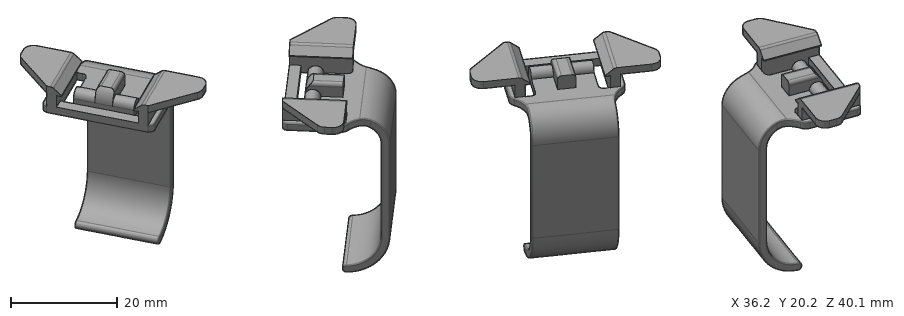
import cadquery as cq
import math


total_height = 40.05
tolerance = 0.005

sheet = 1.7
edge_round = 0.2
plate_half = 11.1
plate_corner_radius = 1.0
strap_half = 8.33
strap_back = 20.2
bend_inner_radius = 4.0
bend_outer_radius = bend_inner_radius + sheet
hook_inner_radius = 7.0
hook_outer_radius = hook_inner_radius + sheet
hook_middle_radius = hook_inner_radius + sheet / 2
hook_sweep = math.radians(86)

shoulder_start = 10.85
shoulder_convex_radius = 2.0
shoulder_concave_radius = 5.0

channel_depth = 12.0
channel_top = 6.1
wall_outer = 10.1
wall_inner = 8.13
lip_tip = 7.13
lip_underside = 4.32
lip_tip_height = 0.2
lip_round_radius = 1.0
lip_crest = 9.35
wing_thickness = 1.6
wing_half = 18.1
wing_corner_radius = 2.0
wing_side_front = 7.73

strap_depth = total_height - channel_top
hook_drop = strap_depth - hook_middle_radius * math.sin(hook_sweep) - sheet / 2

front_bar_depth = 2.2
tongue_half = 6.0
tongue_front = 3.65
tongue_root_radius = 1.0
ridge_radius = 1.52
ridge_centre = tongue_front + ridge_radius
button_half = 1.75
button_back = 10.85
button_top = 4.72
button_side_radius = 0.75


def block(half_width, y_min, y_max, z_min, z_max):
    """Box centred on X = 0."""
    size = (2 * half_width, y_max - y_min, z_max - z_min)
    return cq.Workplane("XY").box(*size, centered=(True, False, False)).translate((0, y_min, z_min))


def on_both_sides(solid):
    return solid.union(solid.mirror("YZ"))


def sheet_profile():
    """Side profile of the bent sheet, extruded over the full plate width."""
    bend_y = strap_back - bend_outer_radius
    bend_z = -bend_inner_radius
    hook_y = strap_back - hook_outer_radius
    hook_z = -hook_drop

    def on_bend(radius):
        offset = radius * math.sqrt(0.5)
        return (bend_y + offset, bend_z + offset)

    def on_hook(radius, angle):
        return (hook_y + radius * math.cos(angle), hook_z - radius * math.sin(angle))

    tip_radius = sheet / 2
    tip_y, tip_z = on_hook(hook_middle_radius, hook_sweep)
    tip_end = (tip_y - tip_radius * math.sin(hook_sweep), tip_z - tip_radius * math.cos(hook_sweep))

    return (
        cq.Workplane("YZ")
        .moveTo(0, 0)
        .lineTo(0, sheet)
        .lineTo(bend_y, sheet)
        .threePointArc(on_bend(bend_outer_radius), (strap_back, bend_z))
        .lineTo(strap_back, hook_z)
        .threePointArc(on_hook(hook_outer_radius, hook_sweep / 2), on_hook(hook_outer_radius, hook_sweep))
        .threePointArc(tip_end, on_hook(hook_inner_radius, hook_sweep))
        .threePointArc(on_hook(hook_inner_radius, hook_sweep / 2), (strap_back - sheet, hook_z))
        .lineTo(strap_back - sheet, bend_z)
        .threePointArc(on_bend(bend_inner_radius), (bend_y, 0))
        .close()
        .extrude(plate_half, both=True)
    )


def plate_outline():
    """Plan of the plate with its shoulders, as a prism reaching down to the straight strap."""
    narrowing = plate_half - strap_half
    radius_sum = shoulder_convex_radius + shoulder_concave_radius
    turn = math.acos(1 - narrowing / radius_sum)
    shoulder_end = shoulder_start + radius_sum * math.sin(turn)

    def on_convex(angle):
        inset = shoulder_convex_radius * (1 - math.cos(angle))
        return (plate_half - inset, shoulder_start + shoulder_convex_radius * math.sin(angle))

    def on_concave(angle):
        outset = shoulder_concave_radius * (1 - math.cos(angle))
        return (strap_half + outset, shoulder_end - shoulder_concave_radius * math.sin(angle))

    half = (
        cq.Workplane("XY")
        .workplane(offset=-bend_inner_radius)
        .moveTo(0, 0)
        .lineTo(plate_half, 0)
        .lineTo(plate_half, shoulder_start)
        .threePointArc(on_convex(turn / 2), on_convex(turn))
        .threePointArc(on_concave(turn / 2), (strap_half, shoulder_end))
        .lineTo(strap_half, strap_back)
        .lineTo(0, strap_back)
        .close()
        .extrude(bend_inner_radius + sheet)
    )
    front_corner = cq.selectors.NearestToPointSelector((plate_half, 0, 0))
    return on_both_sides(half.edges("|Z").edges(front_corner).fillet(plate_corner_radius))


def bent_sheet():
    strap_zone = block(strap_half, 0, strap_back, -strap_depth, -bend_inner_radius)
    body = sheet_profile().intersect(plate_outline().union(strap_zone)).clean()

    def is_side_edge(edge):
        centre = edge.Center()
        box = edge.BoundingBox()
        upright_on_plate = max(box.xlen, box.ylen) < tolerance and centre.z > -bend_inner_radius
        return abs(centre.x) > strap_half - edge_round and not upright_on_plate

    side_edges = body.edges().filter(is_side_edge)
    return side_edges.fillet(edge_round)


def channel_wall():
    """Wall on the +X side with its inward lip and rounded crest."""
    lip_top = lip_underside + lip_tip_height
    crest_centre_z = channel_top - lip_round_radius
    run = lip_crest - lip_tip
    rise = crest_centre_z - lip_top
    tangent_angle = math.atan2(rise, run) + math.asin(lip_round_radius / math.hypot(run, rise))

    def on_crest(angle):
        return (
            lip_crest - lip_round_radius * math.sin(angle),
            crest_centre_z + lip_round_radius * math.cos(angle),
        )

    return (
        cq.Workplane("XZ")
        .moveTo(wall_inner, 0)
        .lineTo(wall_outer, 0)
        .lineTo(wall_outer, channel_top)
        .lineTo(lip_crest, channel_top)
        .threePointArc(on_crest(tangent_angle / 2), on_crest(tangent_angle))
        .lineTo(lip_tip, lip_top)
        .lineTo(lip_tip, lip_underside)
        .lineTo(wall_inner, lip_underside)
        .close()
        .extrude(-channel_depth)
    )


def wing():
    """Flat wing on the +X side with a slanted front edge and rounded outer corners."""
    return (
        cq.Workplane("XY")
        .workplane(offset=channel_top - wing_thickness)
        .moveTo(wall_outer, 0)
        .lineTo(wing_half, wing_side_front)
        .lineTo(wing_half, channel_depth)
        .lineTo(wall_outer, channel_depth)
        .close()
        .extrude(wing_thickness)
        .edges("|Z and >X")
        .fillet(wing_corner_radius)
    )


def window():
    """U-shaped opening that frees the tongue from the plate."""
    opening = block(wall_inner, front_bar_depth, channel_depth, 0, sheet)
    tongue = block(tongue_half, tongue_front, channel_depth, 0, sheet)
    slot = opening.cut(tongue)

    def is_tongue_root(edge):
        centre = edge.Center()
        return abs(abs(centre.x) - tongue_half) < tolerance and abs(centre.y - channel_depth) < tolerance

    return slot.edges("|Z").filter(is_tongue_root).fillet(tongue_root_radius)


def ridge():
    """Half-round bar across the tongue's free end."""
    cylinder = (
        cq.Workplane("YZ")
        .center(ridge_centre, sheet)
        .circle(ridge_radius)
        .extrude(tongue_half, both=True)
    )
    above_plate = block(tongue_half, tongue_front, button_back, sheet, sheet + ridge_radius)
    return cylinder.intersect(above_plate)


def button():
    """Raised push button along the tongue, with rounded long edges and a bowed front."""
    height = button_top - sheet
    bow_depth = ridge_centre - tongue_front
    bow_radius = (bow_depth**2 + height**2) / (2 * bow_depth)
    half_angle = math.asin(height / bow_radius) / 2
    bow_middle = (
        tongue_front + bow_radius * (1 - math.cos(half_angle)),
        sheet + bow_radius * math.sin(half_angle),
    )
    bowed = (
        cq.Workplane("YZ")
        .moveTo(button_back, 0)
        .lineTo(tongue_front, 0)
        .lineTo(tongue_front, sheet)
        .threePointArc(bow_middle, (ridge_centre, button_top))
        .lineTo(button_back, button_top)
        .close()
        .extrude(button_half, both=True)
    )
    rounded_bar = block(button_half, tongue_front, button_back, 0, button_top)
    return bowed.intersect(rounded_bar.edges("|Y and >Z").fillet(button_side_radius))


front_bar = block(wall_outer, 0, front_bar_depth, 0, sheet)

result = (
    bent_sheet()
    .union(front_bar)
    .union(on_both_sides(channel_wall().union(wing())))
    .cut(window())
    .union(ridge())
    .union(button())
)